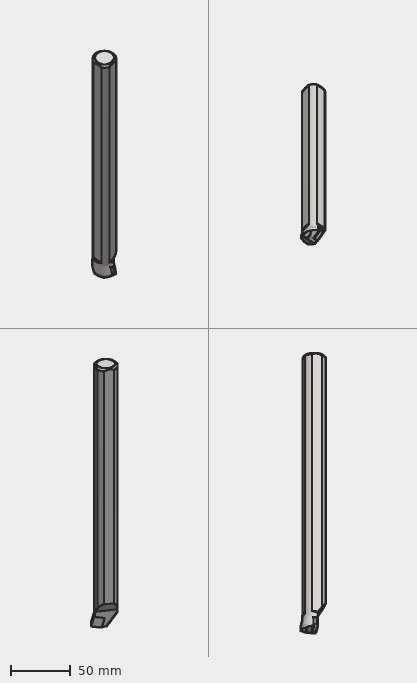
import cadquery as cq
import math


total_length = 253.47
shank_radius = 10.0
end_chamfer = 2.0
flat_distance = 9.0
flat_end_z = 17.0
flat_angles = (-90, 0, 90)

head_radius = 11.5
head_offset = 0.9
flare_top_z = 12.8
flare_end_z = 6.2
flare_end_slope = 11.0
back_relief_top_z = 14.5
back_relief_angle = 55.0
bottom_z = 0.6
heel_start_y = -7.5
heel_rise = 1.8

insert_size = 9.525
insert_thickness = 3.97
insert_corner_radius = 0.8
insert_clearance = 7.0
insert_turn = 15.0
tip_reach = 12.86
radial_tilt = 5.0
axial_tilt = 2.0

pocket_floor_end_z = 16.2
pocket_ramp_angle = 33.0

corner_offset = (insert_size / 2 - insert_corner_radius) * math.sqrt(2)
corner_angle = math.radians(45 - insert_turn)
insert_x = tip_reach - insert_corner_radius - corner_offset * math.cos(corner_angle)
insert_z = insert_corner_radius + corner_offset * math.cos(corner_angle)
tip_z = insert_z - corner_offset * math.sin(corner_angle)
lowest_x = insert_x - corner_offset * math.sin(corner_angle)

clear = 2 * head_radius


def tilt(shape):
    """Lean a shape about the insert tip by the two rake angles."""
    tip = cq.Vector(tip_reach, 0, tip_z)
    shape = shape.rotate(tip, tip + cq.Vector(1, 0, 0), -axial_tilt)
    return shape.rotate(tip, tip + cq.Vector(0, 0, 1), -radial_tilt)


def make_insert():
    """Rounded square plate, rake face up towards +Y, narrowing below it."""
    plate = (
        cq.Workplane("XZ")
        .sketch()
        .rect(insert_size, insert_size)
        .vertices()
        .fillet(insert_corner_radius)
        .finalize()
        .extrude(insert_thickness, taper=insert_clearance)
        .rotate((0, 0, 0), (0, 1, 0), -insert_turn)
        .translate((insert_x, 0, insert_z))
    )
    return tilt(plate)


def make_shank():
    """Round shank with a chamfered end."""
    return (
        cq.Workplane("XY", origin=(0, 0, flare_top_z))
        .circle(shank_radius)
        .extrude(total_length - flare_top_z)
        .faces(">Z")
        .chamfer(end_chamfer)
    )


def flat_cutter(angle):
    """Removes one flat, with a 45 degree run-out at its lower end."""
    run_out = clear - flat_distance
    profile = [
        (flat_distance, flat_end_z),
        (clear, flat_end_z - run_out),
        (clear, total_length),
        (flat_distance, total_length),
    ]
    cutter = cq.Workplane("XZ").polyline(profile).close().extrude(clear, both=True)
    return cutter.rotate((0, 0, 0), (0, 0, 1), angle)


def make_head():
    """Flare from the shank to a wider cylinder, joined along a sloping ellipse."""
    slope = math.radians(flare_end_slope)
    axis = cq.Vector(0, 0, 1)
    flare_end = cq.Vector(head_offset, 0, flare_end_z)
    slope_normal = cq.Vector(math.sin(slope), 0, math.cos(slope))
    slope_x = cq.Vector(math.cos(slope), 0, -math.sin(slope))

    top_circle = cq.Wire.makeCircle(shank_radius, cq.Vector(0, 0, flare_top_z), axis)
    end_ellipse = cq.Wire.makeEllipse(
        head_radius / math.cos(slope), head_radius, flare_end, slope_normal, slope_x
    )
    flare = cq.Workplane(cq.Solid.makeLoft([top_circle, end_ellipse], True))

    above_slope = (
        cq.Workplane(cq.Plane(flare_end, slope_x, slope_normal))
        .rect(2 * clear, 2 * clear)
        .extrude(clear)
    )
    lower = (
        cq.Workplane("XY")
        .center(head_offset, 0)
        .circle(head_radius)
        .extrude(flare_top_z)
        .cut(above_slope)
    )
    return flare.union(lower)


def back_relief_cutter():
    """Slanted cut on the -X side, running down to the bottom of the head."""
    run = back_relief_top_z / math.tan(math.radians(back_relief_angle))
    profile = [
        (-shank_radius - run, 2 * back_relief_top_z),
        (-shank_radius + 2 * run, -back_relief_top_z),
        (-shank_radius - run, -back_relief_top_z),
    ]
    return cq.Workplane("XZ").polyline(profile).close().extrude(clear, both=True)


def bottom_cutter():
    """Level under the heel, then parallel to the lower edge of the insert."""
    rise = (clear - lowest_x) * math.tan(math.radians(insert_turn))
    profile = [
        (-clear, bottom_z),
        (lowest_x, bottom_z),
        (clear, bottom_z + rise),
        (clear, -clear),
        (-clear, -clear),
    ]
    return cq.Workplane("XZ").polyline(profile).close().extrude(clear, both=True)


def heel_cutter():
    """Sloping relief under the -Y side of the head."""
    profile = [
        (heel_start_y, bottom_z),
        (-head_radius, bottom_z + heel_rise),
        (-head_radius, 0),
        (heel_start_y, 0),
    ]
    return cq.Workplane("YZ").polyline(profile).close().extrude(clear, both=True)


def chip_pocket_cutter():
    """Opens the +Y side down to the rake face, with a ramp up to the shank."""
    ramp_height = clear / math.tan(math.radians(pocket_ramp_angle))
    profile = [
        (0, -clear),
        (0, pocket_floor_end_z),
        (clear, pocket_floor_end_z + ramp_height),
        (clear, -clear),
    ]
    cutter = cq.Workplane("YZ").polyline(profile).close().extrude(2 * clear, both=True)
    return tilt(cutter)


insert = make_insert()

bar = make_shank().union(make_head())
for flat_angle in flat_angles:
    bar = bar.cut(flat_cutter(flat_angle))
bar = bar.cut(back_relief_cutter()).cut(bottom_cutter()).cut(heel_cutter())
bar = bar.cut(chip_pocket_cutter()).cut(insert)

result = cq.Compound.makeCompound([*bar.solids().vals(), insert.val()])